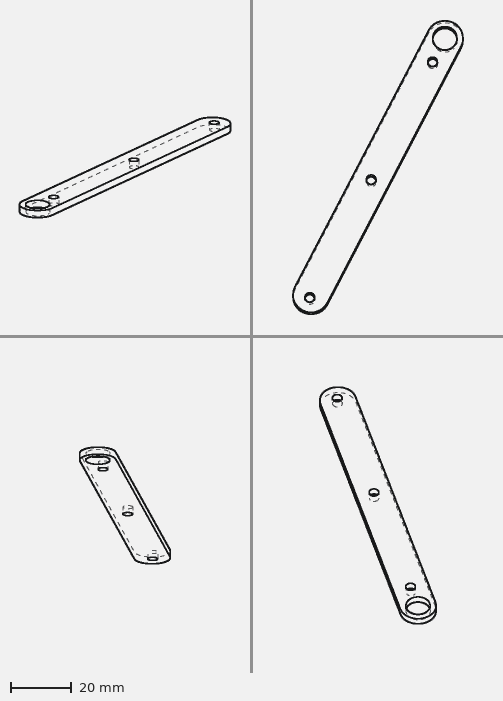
import cadquery as cq

length = 110.0
width = 12.0
thickness = 2.5
pivot_diameter = 8.0
pin_diameter = 3.2
pin_count = 3
pin_pitch = 45.0
far_pin_edge_distance = 5.0

end_radius = width / 2
bar_center_y = length / 2 - end_radius
far_pin_y = length - end_radius - far_pin_edge_distance


def make_bar():
    """Flat bar along Y with fully rounded ends, resting on Z = 0."""
    return (
        cq.Workplane("XY")
        .center(0, bar_center_y)
        .slot2D(length, width, angle=90)
        .extrude(thickness)
    )


def make_through_hole(y, diameter):
    """Cutter for a vertical through hole on the bar's centerline."""
    return cq.Workplane("XY").center(0, y).circle(diameter / 2).extrude(thickness)


result = make_bar().cut(make_through_hole(0, pivot_diameter))

for index in range(pin_count):
    pin_y = far_pin_y - index * pin_pitch
    result = result.cut(make_through_hole(pin_y, pin_diameter))